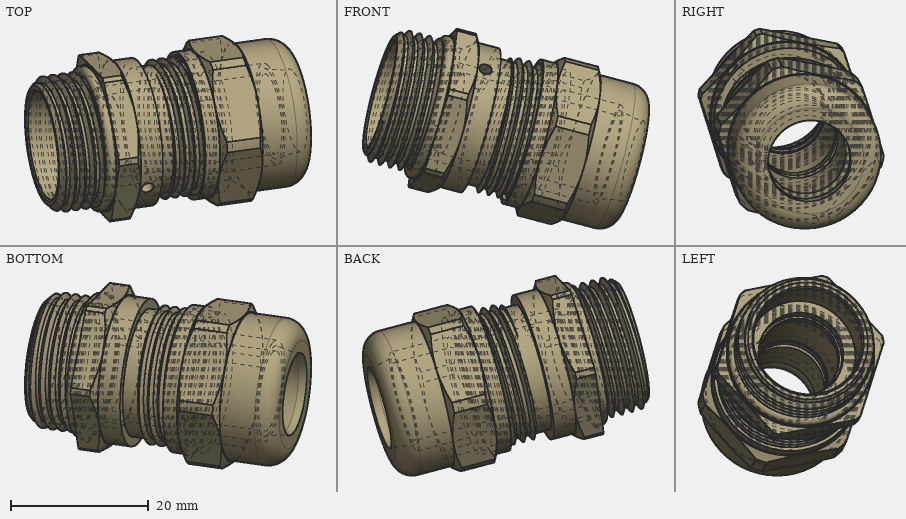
import cadquery as cq
import math


TILT_DOWN = 14.7
TURN_LEFT = 8.0
AXIS_OFFSET_Y = 0.1
AXIS_OFFSET_Z = 0.15
HEX_ROLL = 19.0

ENTRY_FACE = -19.1
BORE_FLOOR = -11.65
HEX_FRONT = -11.1
SEAT_FLOOR = -10.8
INSERT_START = -9.6
HEX_BACK = -7.35
VENT_STATION = -6.15
COLLAR_END = -4.05
NUT_THREAD_FACE = -2.0
NUT_MOUTH = 2.45
NUT_HEX_START = 4.6
BODY_END = 5.1
SEAL_START = 6.7
NUT_HEX_END = 11.1
SEAL_END = 15.47
THROAT_START = 17.93
NUT_END = 19.2

PITCH = 1.5
FLANK_ANGLE = 30.0
THREAD_OVERLAP = 0.1
ENTRY_CORE_D = 18.25
ENTRY_CREST_D = 20.0
ENTRY_THREAD_START = -19.85
ENTRY_THREAD_ANGLE = -90.0
ENTRY_TURNS = 5.3
NUT_CORE_D = 18.85
NUT_CREST_D = 20.38
NUT_THREAD_START = -2.6
NUT_THREAD_ANGLE = 80.0
NUT_TURNS = 4.6

ENTRY_BORE_D = 15.9
BORE_CHAMFER = 0.25
RIM_D = 17.55
PASSAGE_D = 12.45
SEAT_D = 21.63
COLLAR_D = 21.7
HEX_FLATS = 22.0
BODY_HEX_CORNERS_D = 24.87
VENT_D = 1.87

NUT_HEX_CORNERS_D = 24.55
NUT_BORE_D = 20.63
NUT_THROAT_D = 12.15
THROAT_MOUTH_D = 13.3
NUT_END_ROUND = 2.9
HEX_CHAMFER_ANGLE = 30.0

O_RING_SECTION_R = 0.8
O_RING_STATION = -11.6
INSERT_D = 14.7
CABLE_D = 11.73
RELIEF_D = 12.15
RELIEF_START = -8.15
RELIEF_END = 3.65
SEAL_D = 14.9


def cylinder(diameter, start, end):
    return cq.Workplane("XY").workplane(offset=start).circle(diameter / 2).extrude(end - start)


def cone(start_d, end_d, start, end):
    return revolved([(0, start), (start_d / 2, start), (end_d / 2, end), (0, end)])


def revolved(outline):
    """Solid of revolution about Z from (radius, height) points."""
    return cq.Workplane("XZ").polyline(outline).close().revolve(360, (0, 0, 0), (0, 1, 0))


def hexagon(corner_d, start, end, chamfer_start):
    """Hexagon with its corners turned to corner_d and its ends chamfered down to the flats."""
    prism = (
        cq.Workplane("XY")
        .workplane(offset=start)
        .polygon(6, HEX_FLATS / math.cos(math.radians(30)))
        .extrude(end - start)
        .rotate((0, 0, 0), (0, 0, 1), HEX_ROLL)
    )
    flats_r = HEX_FLATS / 2
    corner_r = corner_d / 2
    drop = (corner_r - flats_r) * math.tan(math.radians(HEX_CHAMFER_ANGLE))
    outline = [(0, start)]
    if chamfer_start:
        outline += [(flats_r, start), (corner_r, start + drop)]
    else:
        outline += [(corner_r, start)]
    outline += [(corner_r, end - drop), (flats_r, end), (0, end)]
    return prism.intersect(revolved(outline))


def thread_ridge(core_d, crest_d, start, start_angle, turns):
    """Right-handed helical ridge whose mid-line begins at the given height and angle."""
    root_r = core_d / 2 - THREAD_OVERLAP
    crest_r = crest_d / 2
    half_root = (crest_r - root_r) * math.tan(math.radians(FLANK_ANGLE))
    path = cq.Workplane(cq.Wire.makeHelix(PITCH, PITCH * turns, root_r))
    profile = cq.Workplane("XZ").polyline(
        [(root_r, -half_root), (crest_r, 0), (root_r, half_root)]
    ).close()
    ridge = profile.sweep(path, isFrenet=True)
    return ridge.rotate((0, 0, 0), (0, 0, 1), start_angle).translate((0, 0, start))


def entry_thread():
    rod = cylinder(ENTRY_CORE_D, ENTRY_FACE, SEAT_FLOOR).union(
        thread_ridge(
            ENTRY_CORE_D, ENTRY_CREST_D, ENTRY_THREAD_START, ENTRY_THREAD_ANGLE, ENTRY_TURNS
        )
    )
    rim_end = ENTRY_FACE + (ENTRY_CREST_D - RIM_D) / 2
    envelope = cone(RIM_D, ENTRY_CREST_D, ENTRY_FACE, rim_end).union(
        cylinder(ENTRY_CREST_D + 0.4, rim_end, SEAT_FLOOR)
    )
    return rod.intersect(envelope)


def nut_thread():
    ridge = thread_ridge(
        NUT_CORE_D, NUT_CREST_D, NUT_THREAD_START, NUT_THREAD_ANGLE, NUT_TURNS
    ).intersect(cylinder(NUT_BORE_D, NUT_THREAD_FACE, BODY_END))
    return cylinder(NUT_CORE_D, COLLAR_END, BODY_END).union(ridge)


def make_body():
    middle = hexagon(BODY_HEX_CORNERS_D, HEX_FRONT, HEX_BACK, False).cut(
        cylinder(SEAT_D, HEX_FRONT, SEAT_FLOOR)
    ).union(
        cylinder(COLLAR_D, HEX_BACK, COLLAR_END)
    )
    bore_edge_d = ENTRY_BORE_D + 2 * BORE_CHAMFER
    vent = (
        cq.Workplane("YZ")
        .circle(VENT_D / 2)
        .extrude(COLLAR_D)
        .rotate((0, 0, 0), (0, 0, 1), HEX_ROLL + 210)
        .translate((0, 0, VENT_STATION))
    )
    return (
        middle.union(entry_thread())
        .union(nut_thread())
        .cut(cylinder(ENTRY_BORE_D, ENTRY_FACE, BORE_FLOOR))
        .cut(cone(bore_edge_d, ENTRY_BORE_D, ENTRY_FACE, ENTRY_FACE + BORE_CHAMFER))
        .cut(cylinder(PASSAGE_D, BORE_FLOOR, INSERT_START))
        .cut(cylinder(INSERT_D, INSERT_START, BODY_END))
        .cut(vent)
        .cut(make_o_ring())
    )


def make_o_ring():
    ring_r = ENTRY_CORE_D / 2 + O_RING_SECTION_R
    return (
        cq.Workplane("XZ")
        .center(ring_r, O_RING_STATION)
        .circle(O_RING_SECTION_R)
        .revolve(360, (-ring_r, 0, 0), (-ring_r, 1, 0))
    )


def make_insert():
    return (
        cylinder(INSERT_D, INSERT_START, BODY_END)
        .cut(cylinder(CABLE_D, INSERT_START, BODY_END))
        .cut(cylinder(RELIEF_D, RELIEF_START, RELIEF_END))
    )


def make_seal():
    return cylinder(SEAL_D, SEAL_START, SEAL_END).cut(cylinder(CABLE_D, SEAL_START, SEAL_END))


def make_nut():
    barrel = cylinder(COLLAR_D, NUT_MOUTH, NUT_END).faces(">Z").edges().fillet(NUT_END_ROUND)
    return (
        barrel.union(hexagon(NUT_HEX_CORNERS_D, NUT_HEX_START, NUT_HEX_END, True))
        .cut(cylinder(NUT_BORE_D, NUT_MOUTH, SEAL_START))
        .cut(cylinder(SEAL_D, SEAL_START, SEAL_END))
        .cut(cone(THROAT_MOUTH_D, NUT_THROAT_D, SEAL_END, THROAT_START))
        .cut(cylinder(NUT_THROAT_D, THROAT_START, NUT_END))
    )


def posed(part):
    return (
        part.rotate((0, 0, 0), (0, 1, 0), 90 + TILT_DOWN)
        .rotate((0, 0, 0), (0, 0, 1), TURN_LEFT)
        .translate((0, AXIS_OFFSET_Y, AXIS_OFFSET_Z))
    )


body = posed(make_body())
o_ring = posed(make_o_ring())
insert = posed(make_insert())
seal = posed(make_seal())
nut = posed(make_nut())

result = cq.Compound.makeCompound([body.val(), o_ring.val(), insert.val(), seal.val(), nut.val()])